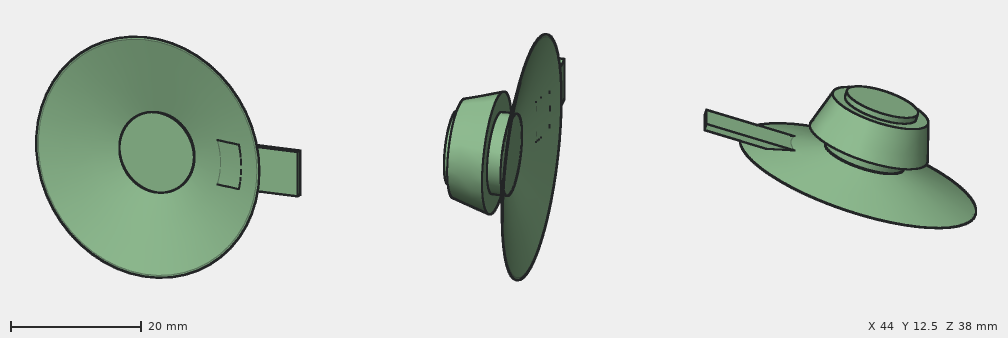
import cadquery as cq

overall_length = 44.0
overall_depth = 12.5
cup_radius = 19.0
rim_width = 0.4
neck_radius = 12.7 / 2
cup_depth = 3.4
cup_inner_depth = 3.25
plug_depth = 3.12
rim_thickness = 0.1

head_start = 5.55
head_end = 11.5
head_wide_radius = cup_radius / 2
head_narrow_radius = 7.7
boss_radius = 11.5 / 2

tab_width = 7.05
tab_thickness = 1.05
tab_start_y = 1.0
tab_root_x = 10.55
tab_end_x = overall_length - cup_radius

body = (
    cq.Workplane("XY")
    .moveTo(0, plug_depth)
    .lineTo(neck_radius, plug_depth)
    .lineTo(neck_radius, cup_inner_depth)
    .lineTo(cup_radius - rim_width, 0)
    .lineTo(cup_radius, 0)
    .lineTo(cup_radius, rim_thickness)
    .lineTo(neck_radius, cup_depth)
    .lineTo(neck_radius, head_start)
    .lineTo(head_wide_radius, head_start)
    .lineTo(head_narrow_radius, head_end)
    .lineTo(boss_radius, head_end)
    .lineTo(boss_radius, overall_depth)
    .lineTo(0, overall_depth)
    .close()
    .revolve(360, (0, 0, 0), (0, 1, 0))
)

cup_cavity = (
    cq.Workplane("XY")
    .lineTo(cup_radius - rim_width, 0)
    .lineTo(neck_radius, cup_inner_depth)
    .lineTo(0, cup_inner_depth)
    .close()
    .revolve(360, (0, 0, 0), (0, 1, 0))
)

tab_blank = cq.Workplane("XY").box(
    tab_end_x - tab_root_x, tab_thickness, tab_width, centered=(False, False, True)
).translate((tab_root_x, tab_start_y, 0))
tab = tab_blank.cut(cup_cavity)

result = body.union(tab)